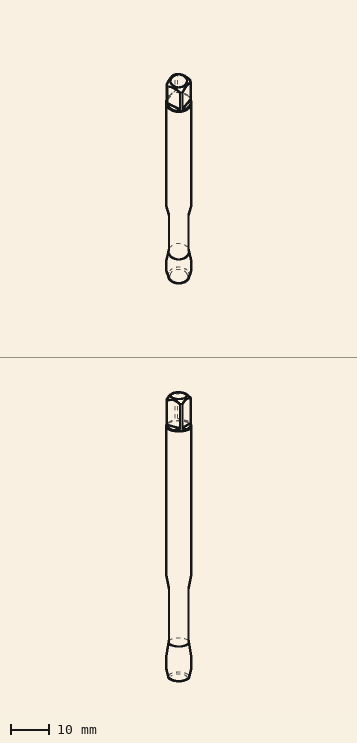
import cadquery as cq

total_length = 80.1
shank_diameter = 6.5
neck_diameter = 5.05

head_diameter = shank_diameter
head_length = 10.1
head_end_diameter = 5.3
full_diameter_end_z = 6.0
lead_length = 2.65
lead_end_diameter = 5.45
tip_chamfer_length = 0.3
tip_diameter = 4.5

neck_flare_length = 0.5
cone_length = 4.0
shank_start_z = 29.15
neck_blend_radius = 1.6

drive_corner_diameter = 6.25
drive_width = 4.9
drive_flat_start_z = 72.25
drive_step_z = 71.5
top_face_diameter = 4.25

shank_radius = shank_diameter / 2
neck_radius = neck_diameter / 2
head_radius = head_diameter / 2
head_end_radius = head_end_diameter / 2
drive_corner_radius = drive_corner_diameter / 2
top_face_radius = top_face_diameter / 2


def revolve_about_z(points):
    """Revolve a closed outline of (radius, height) points about the Z axis."""
    return cq.Workplane("XZ").polyline(points).close().revolve(360, (0, 0), (0, 1))


def make_head():
    """Cylinder with a tapered lead, a small tip chamfer and a tapered back end."""
    return revolve_about_z([
        (0, 0),
        (tip_diameter / 2, 0),
        (lead_end_diameter / 2, tip_chamfer_length),
        (head_radius, lead_length),
        (head_radius, full_diameter_end_z),
        (head_end_radius, head_length),
        (0, head_length),
    ])


def make_shank_blank():
    """Round shank with its waisted neck, before the drive flats are cut."""
    neck_bottom_z = head_length + neck_flare_length
    neck_top_z = shank_start_z - cone_length
    step_height = shank_radius - drive_corner_radius
    top_chamfer = drive_corner_radius - top_face_radius
    blank = revolve_about_z([
        (0, head_length),
        (head_end_radius, head_length),
        (neck_radius, neck_bottom_z),
        (neck_radius, neck_top_z),
        (shank_radius, shank_start_z),
        (shank_radius, drive_step_z - step_height),
        (drive_corner_radius, drive_step_z),
        (drive_corner_radius, total_length - top_chamfer),
        (top_face_radius, total_length),
        (0, total_length),
    ])
    neck_top_edge = cq.selectors.NearestToPointSelector((0, 0, neck_top_z))
    return blank.edges("%CIRCLE").edges(neck_top_edge).fillet(neck_blend_radius)


def make_flat_cutter():
    """Cutter for one drive flat on +X, with a 45 degree run-out at its foot."""
    flat_distance = drive_width / 2
    cutter_reach = shank_diameter
    runout = cutter_reach - flat_distance
    return (
        cq.Workplane("XZ")
        .polyline([
            (flat_distance, total_length),
            (flat_distance, drive_flat_start_z),
            (cutter_reach, drive_flat_start_z - runout),
            (cutter_reach, total_length),
        ])
        .close()
        .extrude(shank_radius, both=True)
    )


def make_shank():
    """Shank and neck with the four drive flats cut at its top."""
    body = make_shank_blank()
    for quarter_turn in range(4):
        cutter = make_flat_cutter().rotate((0, 0, 0), (0, 0, 1), 90 * quarter_turn)
        body = body.cut(cutter)
    return body


head = make_head()
shank = make_shank()
result = cq.Compound.makeCompound([head.val(), shank.val()])